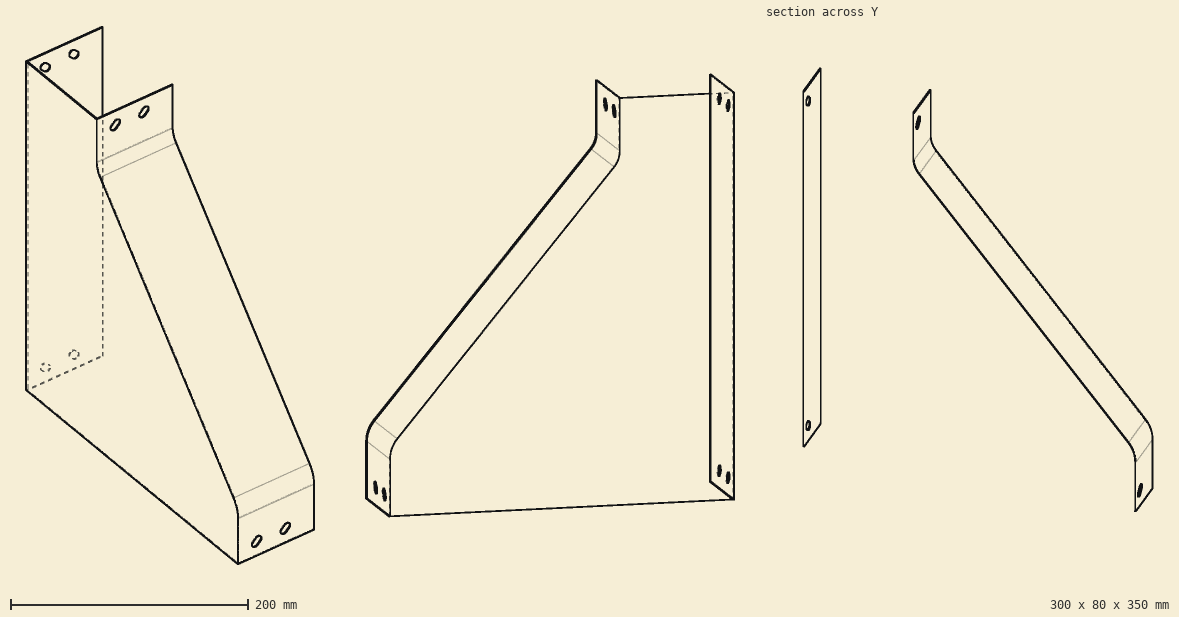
import cadquery as cq

LENGTH = 300.0
DEPTH = 80.0
HEIGHT = 350.0
SHEET = 1.0

NECK_LENGTH = 100.0
NECK_HEIGHT = 53.0
TOE_HEIGHT = 59.0
NECK_BEND_RADIUS = 20.0
TOE_BEND_RADIUS = 28.0

SLOT_LENGTH = 11.2
SLOT_WIDTH = 7.0
SLOT_ANGLE = 45.0
SLOT_EDGE_DISTANCE = 15.0
SLOT_FRONT = 20.0
SLOT_SPACING = 30.0

LOW_SLOT_Z = SLOT_EDGE_DISTANCE
HIGH_SLOT_Z = HEIGHT - SLOT_EDGE_DISTANCE


def folded_sheet():
    """Web at the front with flanges along both sides, open at the back, top and bottom."""
    block = (
        cq.Workplane("XZ", origin=(0, DEPTH, 0))
        .polyline([
            (0, 0),
            (LENGTH, 0),
            (LENGTH, TOE_HEIGHT),
            (NECK_LENGTH, HEIGHT - NECK_HEIGHT),
            (NECK_LENGTH, HEIGHT),
            (0, HEIGHT),
        ])
        .close()
        .extrude(DEPTH)
    )
    neck_bend = cq.selectors.NearestToPointSelector((NECK_LENGTH, DEPTH / 2, HEIGHT - NECK_HEIGHT))
    toe_bend = cq.selectors.NearestToPointSelector((LENGTH, DEPTH / 2, TOE_HEIGHT))
    block = block.edges(neck_bend).fillet(NECK_BEND_RADIUS)
    block = block.edges(toe_bend).fillet(TOE_BEND_RADIUS)
    return block.faces(">Y or >Z or <Z").shell(-SHEET)


def slot_pair(flange_x, slot_z, angle):
    """Cutters for two slots side by side through the upright flange whose outer face is at flange_x."""
    slot_centres = [
        (SLOT_FRONT, slot_z),
        (SLOT_FRONT + SLOT_SPACING, slot_z),
    ]
    return (
        cq.Workplane("YZ", origin=(flange_x, 0, 0))
        .pushPoints(slot_centres)
        .slot2D(SLOT_LENGTH, SLOT_WIDTH, angle)
        .extrude(2 * SHEET, both=True)
    )


result = folded_sheet()

for z in (LOW_SLOT_Z, HIGH_SLOT_Z):
    result = result.cut(slot_pair(0, z, -SLOT_ANGLE))
result = result.cut(slot_pair(LENGTH, LOW_SLOT_Z, SLOT_ANGLE))
result = result.cut(slot_pair(NECK_LENGTH, HIGH_SLOT_Z, SLOT_ANGLE))